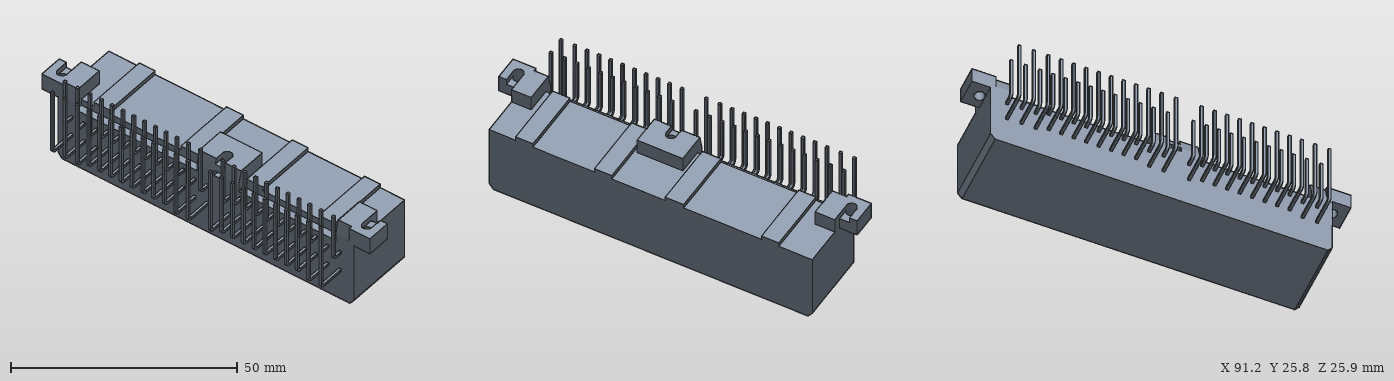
import cadquery as cq


housing_length = 82.2
housing_depth = 18.5
deck_height = 18.1
end_chamfer_x = 1.1
end_chamfer_z = 1.4
front_step_depth = 1.95
front_step_height = 16.4

overall_length = 91.15
block_depth = 8.5
block_top = 21.9
end_block_length = 5.0
middle_block_left = -2.45
middle_block_right = 9.15
ear_depth = 6.35
ear_bottom = 17.5
bevel_setback = 0.85
bevel_bottom = 18.4
end_bevel_length = 3.65

hole_diameter = 2.5
hole_setback = 3.2
slot_depth = 1.45
lower_slot_top = 18.85
middle_hole_x = 3.5
ear_hole_x = (housing_length + hole_diameter) / 2

rib_top = 19.15
ribs = [(-32.6, 4.4), (-8.4, 4.7), (9.9, 4.4), (29.95, 4.4)]

overall_depth = 25.82
pin_width = 0.64
pin_bend_radius = 0.7
pin_top = 25.9
pin_embed = 0.5
signal_pitch = 3.0
signals_per_group = 8
power_pitch = 3.45
leading_powers = 3
signal_to_power = 3.15
first_power_x = -37.22
second_signal_x = 9.72
lower_row_reach = overall_depth - housing_depth - pin_width / 2
upper_row_reach = 2.45
lower_signal_z = 9.6
lower_power_z = 8.5
row_spacing = 5.2


def box(x_range, y_range, z_range):
    """Axis-aligned block between the given limits."""
    size = [high - low for low, high in (x_range, y_range, z_range)]
    corner = (x_range[0], y_range[0], z_range[0])
    return cq.Workplane("XY").box(*size, centered=False).translate(corner)


def housing():
    """Long body with chamfered lower ends and a step along its top front edge."""
    half = housing_length / 2
    outline = [
        (-half, deck_height),
        (-half, end_chamfer_z),
        (-half + end_chamfer_x, 0),
        (half - end_chamfer_x, 0),
        (half, end_chamfer_z),
        (half, deck_height),
    ]
    body = cq.Workplane("XZ").polyline(outline).close().extrude(-housing_depth)
    step = box((-half, half), (0, front_step_depth), (front_step_height, deck_height))
    return body.cut(step)


def deck_ribs():
    """Low ribs running from the front step to the back face."""
    bars = cq.Workplane("XY")
    for left, width in ribs:
        bar = box((left, left + width), (front_step_depth, housing_depth), (front_step_height, rib_top))
        bars = bars.union(bar)
    return bars


def bevel(left, right):
    """Wedge removed from the top front edge of a block."""
    outline = [(0, bevel_bottom), (bevel_setback, block_top), (0, block_top)]
    return cq.Workplane("YZ").polyline(outline).close().extrude(right - left).translate((left, 0, 0))


def peg_hole(x, bottom):
    """Vertical hole from the block top down to the given level."""
    hole = cq.Workplane("XY").circle(hole_diameter / 2).extrude(block_top - bottom)
    return hole.translate((x, hole_setback, bottom))


def peg_slot(x, y_end, bottom, top):
    """Slot as wide as the peg hole, leading from the hole axis to y_end."""
    radius = hole_diameter / 2
    y_range = (min(hole_setback, y_end), max(hole_setback, y_end))
    return box((x - radius, x + radius), y_range, (bottom, top))


def middle_block():
    """Centre block with a bevelled front edge."""
    block = box((middle_block_left, middle_block_right), (0, block_depth), (front_step_height, block_top))
    return block.cut(bevel(middle_block_left, middle_block_right))


def cut_middle_peg_hole(body):
    """Blind hole in the centre block, open to the front through an upper and a lower slot."""
    body = body.cut(peg_hole(middle_hole_x, ear_bottom))
    body = body.cut(peg_slot(middle_hole_x, 0, block_top - slot_depth, block_top))
    return body.cut(peg_slot(middle_hole_x, 0, ear_bottom, lower_slot_top))


def right_end_block():
    """End block with an overhanging ear, a through hole and a slot open to the back."""
    half = housing_length / 2
    inner = half - end_block_length
    block = box((inner, half), (0, block_depth), (front_step_height, block_top))
    ear = box((half, overall_length / 2), (0, ear_depth), (ear_bottom, block_top))
    block = block.union(ear).cut(bevel(inner, inner + end_bevel_length))
    block = block.cut(peg_hole(ear_hole_x, ear_bottom))
    return block.cut(peg_slot(ear_hole_x, ear_depth, block_top - slot_depth, block_top))


def pin(x, z, reach):
    """Square pin leaving the front face, bent upward at the given reach."""
    half = pin_width / 2
    inner_radius = pin_bend_radius - half
    outer_radius = pin_bend_radius + half
    outline = (
        cq.Workplane("YZ")
        .moveTo(pin_embed, z - half)
        .lineTo(pin_bend_radius - reach, z - half)
        .radiusArc((-reach - half, z + pin_bend_radius), outer_radius)
        .lineTo(-reach - half, pin_top)
        .lineTo(-reach + half, pin_top)
        .lineTo(-reach + half, z + pin_bend_radius)
        .radiusArc((pin_bend_radius - reach, z + half), -inner_radius)
        .lineTo(pin_embed, z + half)
        .close()
    )
    return outline.extrude(half, both=True).translate((x, 0, 0))


def pin_positions():
    """X positions of the power pins and of the signal pins."""
    signal_span = (signals_per_group - 1) * signal_pitch
    first_signal_x = first_power_x + (leading_powers - 1) * power_pitch + signal_to_power
    signals = []
    for start in (first_signal_x, second_signal_x):
        signals += [start + i * signal_pitch for i in range(signals_per_group)]
    power = [first_power_x + i * power_pitch for i in range(leading_powers)]
    after_first = first_signal_x + signal_span + signal_to_power
    power += [after_first, after_first + power_pitch]
    after_second = second_signal_x + signal_span + signal_to_power
    power += [second_signal_x - signal_to_power, after_second, after_second + power_pitch]
    return power, signals


def all_pins():
    """Two rows of pins; power pins leave the face lower than signal pins."""
    pins = cq.Workplane("XY")
    for positions, lower_z in zip(pin_positions(), (lower_power_z, lower_signal_z)):
        for x in positions:
            pins = pins.union(pin(x, lower_z, lower_row_reach))
            pins = pins.union(pin(x, lower_z + row_spacing, upper_row_reach))
    return pins


end_block = right_end_block()
body = housing().union(deck_ribs()).union(middle_block())
body = body.union(end_block).union(end_block.mirror("YZ"))
body = cut_middle_peg_hole(body)
result = body.union(all_pins())